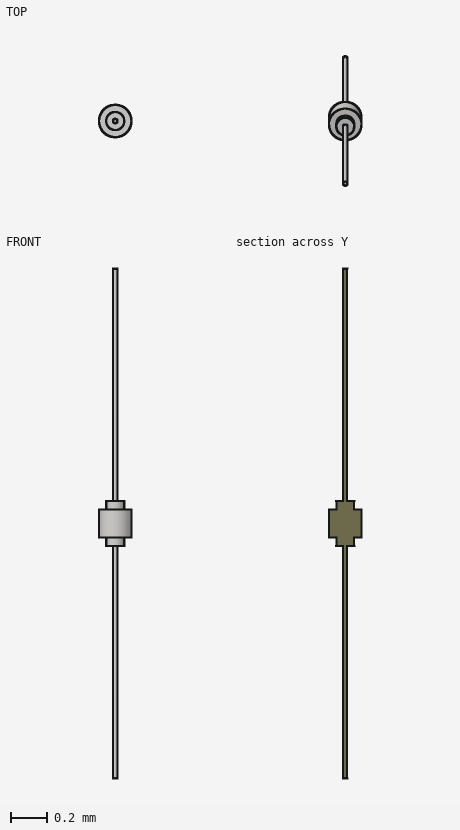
import cadquery as cq

overall_length = 2.81
pin_diameter = 0.025
collar_diameter = 0.10
collar_span = 0.25
body_diameter = 0.18
body_height = 0.155


def centred_cylinder(diameter, height):
    """Solid cylinder along Z, centred on the origin."""
    return cq.Workplane("XY").cylinder(height, diameter / 2)


body = centred_cylinder(body_diameter, body_height)

collars = centred_cylinder(collar_diameter, collar_span)

pin = centred_cylinder(pin_diameter, overall_length)

result = body.union(collars).union(pin)